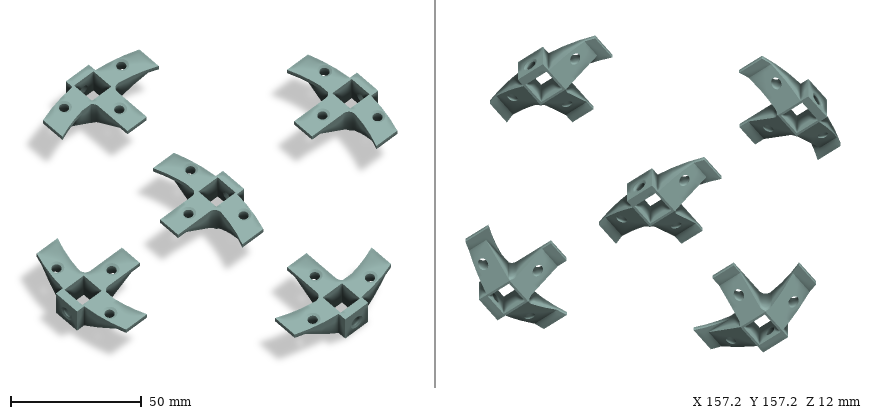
import cadquery as cq
import math

OVERALL = 157.2
HEIGHT = 12.0
PLATE = 2.0
SOCKET = 10.0
PAD_WIDTH = 12.0
PAD_REACH = 8.6
ARM_REACH = 25.0
SIDE_REACH = 25.2
RING_OUTER = 75.1
ROOT_FILLET = 3.0
SIDE_RAMP_START = 6.0
SIDE_RAMP_END = 21.0
ARM_RAMP_START = 6.0
ARM_RAMP_END = 20.8
FLAT_WALL = 6.0
HOLE_OFFSET = 15.0
HOLE_DIAMETER = 4.0
SINK_DIAMETER = 6.0
SINK_DEPTH = 0.5
PAD_HOLE_HEIGHT = 5.0

RING_RADIUS = OVERALL / 2 - PAD_REACH
RING_INNER = RING_RADIUS - SOCKET / 2
MARGIN = 1.5
EDGE_TOLERANCE = 0.2
SIDES = 4


def block(width, y_start, y_end):
    """Full-height block, centred on X, between two Y positions."""
    centred_on_x = (True, False, False)
    box = cq.Workplane("XY").box(width, y_end - y_start, HEIGHT, centered=centred_on_x)
    return box.translate((0, y_start, 0))


def arm_blank():
    """Curved side arms joined to the straight inward arm, with filleted roots."""
    ring = cq.Workplane("XY").center(0, -RING_RADIUS).circle(RING_OUTER).circle(RING_INNER).extrude(HEIGHT)
    side_arms = ring.intersect(block(2 * SIDE_REACH, -RING_RADIUS / 2, RING_RADIUS))
    blank = side_arms.union(block(SOCKET, -ARM_REACH, 0))

    half_width = SOCKET / 2
    root_y = math.sqrt(RING_INNER**2 - half_width**2) - RING_RADIUS
    roots = cq.selectors.BoxSelector(
        (-half_width - EDGE_TOLERANCE, root_y - EDGE_TOLERANCE, -EDGE_TOLERANCE),
        (half_width + EDGE_TOLERANCE, root_y + EDGE_TOLERANCE, HEIGHT + EDGE_TOLERANCE),
    )
    return blank.edges("|Z").edges(roots).fillet(ROOT_FILLET)


def ramp_cutter(start, end):
    """Wedge below a sloped underside that rises along +X, wide enough for any arm."""
    tip_bottom = HEIGHT - PLATE
    reach = SIDE_REACH + MARGIN
    return (
        cq.Workplane("XZ")
        .polyline([(start, 0), (end, tip_bottom), (reach, tip_bottom), (reach, 0)])
        .close()
        .extrude(SIDE_REACH, both=True)
    )


def flatten_side_wall(body):
    """Give the -X side arm a flat inner wall, filled at its root and trimmed under its plate farther out."""
    crossing = math.sqrt(RING_INNER**2 - (RING_RADIUS - FLAT_WALL) ** 2)
    fill = block(crossing, -FLAT_WALL, 0).translate((-crossing / 2, 0, 0))

    trim_width = SIDE_REACH + MARGIN - crossing
    trim = block(trim_width, -ARM_REACH, -FLAT_WALL).translate((-crossing - trim_width / 2, 0, -PLATE))
    return body.union(fill).cut(trim)


def screw_hole():
    """Cutter for a countersunk hole whose mouth is at the origin, running along -Z."""
    mouth = SINK_DIAMETER / 2
    shank = HOLE_DIAMETER / 2
    return (
        cq.Workplane("XZ")
        .polyline([(0, 0), (mouth, 0), (shank, -SINK_DEPTH), (shank, -HEIGHT), (0, -HEIGHT)])
        .close()
        .revolve(360, (0, 0, 0), (0, 1, 0))
    )


def make_bracket():
    """Bracket with its socket axis on Z, its pad toward +Y and its inward arm toward -Y."""
    body = flatten_side_wall(arm_blank())

    side_ramp = ramp_cutter(SIDE_RAMP_START, SIDE_RAMP_END)
    arm_ramp = ramp_cutter(ARM_RAMP_START, ARM_RAMP_END)
    body = body.cut(side_ramp).cut(side_ramp.mirror("YZ"))
    body = body.cut(arm_ramp.rotate((0, 0, 0), (0, 0, 1), -90))

    body = body.union(block(PAD_WIDTH, 0, PAD_REACH))
    body = body.cut(block(SOCKET, -SOCKET / 2, SOCKET / 2))

    for x, y in [(-HOLE_OFFSET, 0), (HOLE_OFFSET, 0), (0, -HOLE_OFFSET)]:
        body = body.cut(screw_hole().translate((x, y, HEIGHT)))

    pad_hole = screw_hole().rotate((0, 0, 0), (1, 0, 0), -90)
    return body.cut(pad_hole.translate((0, PAD_REACH, PAD_HOLE_HEIGHT)))


bracket = make_bracket()
brackets = [bracket]
for side in range(SIDES):
    outer_bracket = bracket.translate((0, RING_RADIUS, 0))
    brackets.append(outer_bracket.rotate((0, 0, 0), (0, 0, 1), 360 / SIDES * side))

result = cq.Compound.makeCompound([body.val() for body in brackets])